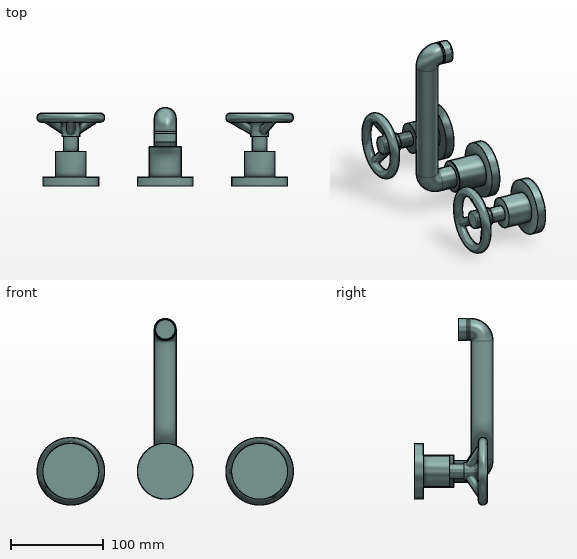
import cadquery as cq
import math


overall_length = 276.2
wheel_diameter = 73.0
handle_offset = (overall_length - wheel_diameter) / 2

flange_radius = 30.0
flange_thickness = 9.7

handle_barrel_radius = 16.5
handle_barrel_end = 37.5
stem_radius = 8.0

rim_tube_radius = 5.0
rim_radius = wheel_diameter / 2 - rim_tube_radius
rim_y = 73.8
hub_radius = 9.7
hub_start = 53.5
hub_end_fillet = 1.5
spoke_radius = 4.7
spoke_slope = 30.0
spoke_count = 3
spoke_fillet = 1.5
left_spoke_angle = 90.0
right_spoke_angle = 180.0

spout_barrel_radius = 17.5
spout_barrel_end = 42.5
spout_barrel_chamfer = 0.5
pipe_radius = 12.0
pipe_y = 84.8 - pipe_radius
bend_radius = 12.5
outlet_z = 152.8
outlet_y = 47.5
groove_start = 57.0
groove_width = 2.0
groove_depth = 0.5
outlet_recess_radius = 10.5
outlet_recess_depth = 1.0


def disc(radius, start, end, x=0.0, z=0.0):
    """Cylinder along Y between two Y positions."""
    plane = cq.Plane(origin=(x, start, z), xDir=(1, 0, 0), normal=(0, 1, 0))
    return cq.Workplane(plane).circle(radius).extrude(end - start)


def handle_base(x):
    """Flange, barrel and stem of one handle."""
    flange = disc(flange_radius, 0, flange_thickness, x)
    barrel = disc(handle_barrel_radius, 0, handle_barrel_end, x)
    stem = disc(stem_radius, 0, hub_start, x)
    return flange.union(barrel).union(stem)


def spoke(angle):
    """Sloping rod from the wheel axis to the centre of the rim tube."""
    slope = math.radians(spoke_slope)
    turn = math.radians(angle)
    direction = cq.Vector(
        math.cos(slope) * math.cos(turn),
        math.sin(slope),
        math.cos(slope) * math.sin(turn),
    )
    foot = cq.Vector(0, rim_y - rim_radius * math.tan(slope), 0)
    inner_gap = hub_radius / 2
    length = rim_radius / math.cos(slope) - inner_gap
    rod = cq.Solid.makeCylinder(spoke_radius, length, foot + direction * inner_gap, direction)
    return cq.Workplane(rod)


def rim():
    """Ring of round tube about the wheel axis, its seam midway between two spokes."""
    ring = cq.Workplane("XY").center(rim_radius, rim_y).circle(rim_tube_radius).revolve(
        360, (-rim_radius, 0), (-rim_radius, 1)
    )
    return ring.rotate((0, 0, 0), (0, 1, 0), 180 / spoke_count)


def handwheel(x, first_angle):
    """Hub, spokes and rim of one handle, seated on the end of its stem."""
    hub = disc(hub_radius, hub_start, rim_y).faces(">Y").edges().fillet(hub_end_fillet)
    wheel = rim()
    for i in range(spoke_count):
        wheel = wheel.union(spoke(i * 360 / spoke_count), clean=False)
    wheel = wheel.union(hub, clean=False)
    wheel = wheel.edges("%BSPLINE").fillet(spoke_fillet)
    return wheel.rotate((0, 0, 0), (0, 1, 0), -first_angle).translate((x, 0, 0))


def spout_pipe():
    """Round pipe swept out of the wall, up and back towards the outlet."""
    bend_mid = bend_radius * (1 - math.sqrt(0.5))
    path = (
        cq.Workplane("YZ")
        .moveTo(spout_barrel_end, 0)
        .lineTo(pipe_y - bend_radius, 0)
        .threePointArc((pipe_y - bend_mid, bend_mid), (pipe_y, bend_radius))
        .lineTo(pipe_y, outlet_z - bend_radius)
        .threePointArc((pipe_y - bend_mid, outlet_z - bend_mid), (pipe_y - bend_radius, outlet_z))
        .lineTo(outlet_y, outlet_z)
    )
    profile_plane = cq.Plane(origin=(0, spout_barrel_end, 0), xDir=(1, 0, 0), normal=(0, 1, 0))
    return cq.Workplane(profile_plane).circle(pipe_radius).sweep(path)


def outlet_groove():
    """Ring cut around the outlet just ahead of the upper bend."""
    end = groove_start + groove_width
    ring = disc(pipe_radius + groove_depth, groove_start, end, z=outlet_z)
    return ring.cut(disc(pipe_radius - groove_depth, groove_start, end, z=outlet_z))


def spout():
    """Flange, barrel and bent pipe in one piece."""
    flange = disc(flange_radius, 0, flange_thickness)
    barrel = disc(spout_barrel_radius, 0, spout_barrel_end)
    barrel = barrel.faces(">Y").edges().chamfer(spout_barrel_chamfer)
    recess = disc(outlet_recess_radius, outlet_y, outlet_y + outlet_recess_depth, z=outlet_z)
    return flange.union(barrel).union(spout_pipe()).cut(outlet_groove()).cut(recess)


bodies = [spout().val()]
for handle_x, spoke_angle in ((-handle_offset, left_spoke_angle), (handle_offset, right_spoke_angle)):
    bodies.append(handle_base(handle_x).val())
    bodies.append(handwheel(handle_x, spoke_angle).val())

result = cq.Compound.makeCompound(bodies)